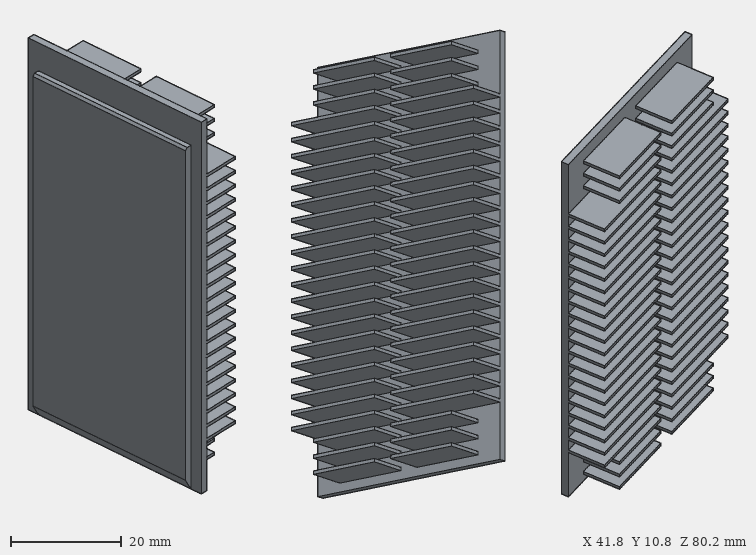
import cadquery as cq
import math

WIDTH = 41.8
DEPTH = 10.75
HEIGHT = 80.2

PLATE_THICKNESS = 1.5

PANEL_THICKNESS = 1.5
PANEL_SIDE_INSET = 2.5
PANEL_TOP_INSET = 6.0
PANEL_BEVEL_ANGLE = 60.0
PANEL_TOP_CHAMFER = 0.5

FIN_COUNT = 26
FIN_THICKNESS = 0.65
FIN_BOTTOM_OFFSET = 2.0
FIN_TOP_OFFSET = 3.2
FIN_CENTER_GAP = 3.7
SHORT_FIN_COUNT = 3
SHORT_FIN_INSET = 5.05

FIN_LENGTH = DEPTH - PANEL_THICKNESS - PLATE_THICKNESS
FIN_PITCH = (HEIGHT - FIN_BOTTOM_OFFSET - FIN_TOP_OFFSET) / (FIN_COUNT - 1)


def make_plate():
    return cq.Workplane("XY").box(WIDTH, PLATE_THICKNESS, HEIGHT, centered=(True, False, False))


def make_panel():
    """Panel profile in the YZ plane, extruded along X: beveled bottom, chamfered top front edge."""
    panel_width = WIDTH - 2 * PANEL_SIDE_INSET
    panel_top = HEIGHT - PANEL_TOP_INSET
    bevel_height = PANEL_THICKNESS * math.tan(math.radians(PANEL_BEVEL_ANGLE))
    profile = [
        (0, 0),
        (-PANEL_THICKNESS, bevel_height),
        (-PANEL_THICKNESS, panel_top - PANEL_TOP_CHAMFER),
        (-PANEL_THICKNESS + PANEL_TOP_CHAMFER, panel_top),
        (0, panel_top),
    ]
    return cq.Workplane("YZ").polyline(profile).close().extrude(panel_width / 2, both=True)


def make_fin(index):
    """One horizontal fin, split in the middle; the fins nearest the stack ends are shorter."""
    is_short = index < SHORT_FIN_COUNT or index >= FIN_COUNT - SHORT_FIN_COUNT
    fin_width = WIDTH - 2 * SHORT_FIN_INSET if is_short else WIDTH
    half_width = (fin_width - FIN_CENTER_GAP) / 2
    half_center = (FIN_CENTER_GAP + half_width) / 2
    fin_z = FIN_BOTTOM_OFFSET + index * FIN_PITCH
    return (
        cq.Workplane("XY", origin=(0, PLATE_THICKNESS, fin_z))
        .pushPoints([(-half_center, 0), (half_center, 0)])
        .box(half_width, FIN_LENGTH, FIN_THICKNESS, centered=(True, False, True))
    )


result = make_plate().union(make_panel())
for fin_index in range(FIN_COUNT):
    result = result.union(make_fin(fin_index))